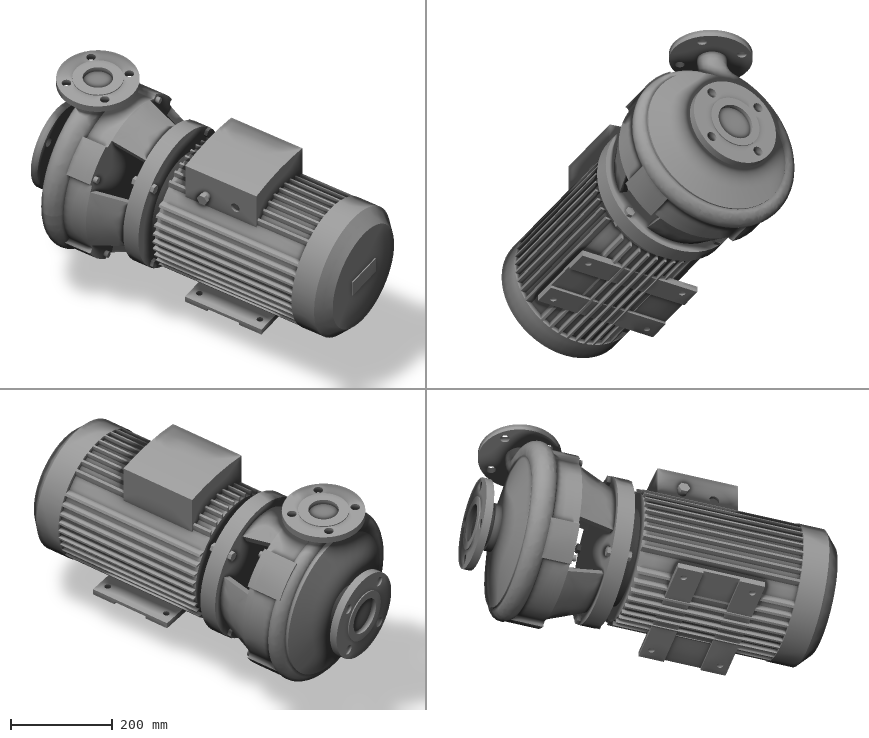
import cadquery as cq
import math


suction_flange_end = 18.0
suction_pipe_end = 35.0
suction_boss_end = 48.5
cone_end = 75.0
volute_x = 100.0
casing_end = 162.0
cover_end = 177.0
lantern_flange_start = 255.5
lantern_flange_end = 291.0
collar_end = 317.0
fins_end = 642.5
cowl_bevel_start = 695.0
cowl_end = 721.0
motor_end = 723.5

suction_flange_diameter = 185.0
suction_face_diameter = 108.5
suction_bore_diameter = 76.0
suction_pipe_diameter = 80.0
suction_boss_diameter = 96.0
suction_hole_diameter = 20.0
suction_hole_offset = 52.0
raised_face = 2.0
port_depth = 11.0

cone_radius = 155.0
ring_radius = 160.0
ring_end_radius = 154.0
tube_radius = 25.0
tube_end_radius = 15.0
outlet_tube_radius = 30.0
outlet_bend_radius = 45.0
outlet_tube_y = -3.0
outlet_flange_diameter = 165.0
outlet_face_diameter = 101.0
outlet_bore_diameter = 60.0
outlet_hole_diameter = 19.0
outlet_hole_offset = 45.0
outlet_top = 225.0
outlet_flange_thickness = 17.0

rim_radius = 164.0
pad_radius = 175.0
pad_half_angle = 13.5
pad_fillet = 6.5
stud_diameter = 13.0
stud_length = 9.0
stud_circle_radius = 163.0
stud_offset_angle = 9.8
quarter_angles = (45, 135, 225, 315)
arm_start_radius = 164.0
arm_end_radius = 132.0
arm_thickness = 19.0
arm_half_angle = 25.4
lantern_flange_radius = 300.0 / 2

bolt_circle_radius = 139.5
bolt_diameter = 10.0
bolt_hex_diameter = 20.0
bolt_head_length = 7.0
bolt_nut_length = 8.0

motor_radius = 279.0 / 2
core_radius = 129.5
collar_radius = 199.0 / 2
cowl_end_radius = 112.0
fin_pitch = 19.5
fin_width = 4.0
fins_each_side = 4
badge_width = 84.0
badge_height = 35.0

foot_start = 386.0
foot_length = 179.5
foot_half_width = 129.5
foot_bottom = -132.0
foot_thickness = 13.0
foot_relief_length = 75.0
foot_relief_depth = 6.0
foot_hole_diameter = 13.0
foot_hole_end_margin = 19.0
foot_hole_y = 105.5

box_start = 358.0
box_length = 166.5
box_half_width = 84.0
box_joint_z = 142.5
lid_side_z = 181.0
lid_crown_z = 188.0
gland_x = 408.0
spare_entry_x = 475.0
entry_z = 126.5
entry_diameter = 20.0
entry_depth = 6.0
gland_neck_diameter = 19.0
gland_neck_length = 9.5
gland_hex_diameter = 24.0
gland_hex_length = 8.0


def disc(radius, start, end):
    """Cylinder on the X axis between two stations."""
    return cq.Workplane("YZ").workplane(offset=start).circle(radius).extrude(end - start)


def polar(radius, degrees):
    """(y, z) of a point on a circle around the X axis."""
    angle = math.radians(degrees)
    return radius * math.cos(angle), radius * math.sin(angle)


def revolved(profile):
    """Turn a closed list of (x, radius) points around the X axis."""
    return cq.Workplane("XY").polyline(profile).close().revolve(360, (0, 0, 0), (1, 0, 0))


def padded_rim(start, end):
    """Round rim with four screw pads, each blended into the rim."""
    rim = disc(rim_radius, start, end)
    for angle in quarter_angles:
        pad = (
            cq.Workplane("YZ")
            .workplane(offset=start)
            .lineTo(*polar(pad_radius, angle - pad_half_angle))
            .threePointArc(polar(pad_radius, angle), polar(pad_radius, angle + pad_half_angle))
            .close()
            .extrude(end - start)
        )
        rim = rim.union(pad)
    middle_radius = (rim_radius + pad_radius) / 2

    def is_pad_root(edge):
        centre = edge.Center()
        return math.hypot(centre.y, centre.z) < middle_radius

    return rim.edges("|X").filter(is_pad_root).fillet(pad_fillet)


def volute_spiral():
    """Tube that shrinks along three quarters of a turn, from -Y through -Z and +Y to +Z."""
    sections = 10
    sweep_angle = 270
    wires = []
    for i in range(sections):
        fraction = i / (sections - 1)
        centre_radius = ring_radius + fraction * (ring_end_radius - ring_radius)
        y, z = polar(centre_radius, 180 + sweep_angle * fraction)
        plane = cq.Plane(origin=(volute_x, y, z), xDir=(1, 0, 0), normal=(0, -z, y))
        radius = tube_radius + fraction * (tube_end_radius - tube_radius)
        wires.append(cq.Workplane(plane).circle(radius).wires().val())
    return cq.Workplane(obj=cq.Solid.makeLoft(wires))


def outlet_pipe():
    """Widening tube that follows the ring up from -Y, then bends back to the vertical outlet."""
    bend_y = outlet_tube_y - outlet_bend_radius
    bend_z = math.sqrt((ring_radius + outlet_bend_radius) ** 2 - bend_y**2)
    joint_angle = math.degrees(math.atan2(bend_z, bend_y))
    bend_middle_angle = math.radians((joint_angle - 180) / 2)
    bend_middle = (
        bend_y + outlet_bend_radius * math.cos(bend_middle_angle),
        bend_z + outlet_bend_radius * math.sin(bend_middle_angle),
    )
    flange_bottom = outlet_top - outlet_flange_thickness
    path = (
        cq.Workplane("YZ", origin=(volute_x, 0, 0))
        .moveTo(-ring_radius, 0)
        .threePointArc(polar(ring_radius, (180 + joint_angle) / 2), polar(ring_radius, joint_angle))
        .threePointArc(bend_middle, (outlet_tube_y, bend_z))
        .lineTo(outlet_tube_y, flange_bottom)
    )
    return (
        cq.Workplane("XY", origin=(volute_x, -ring_radius, 0))
        .circle(tube_radius)
        .workplane(offset=flange_bottom)
        .center(0, ring_radius + outlet_tube_y)
        .circle(outlet_tube_radius)
        .sweep(path, multisection=True)
    )


def outlet_flange():
    """Flange with a raised face; the bottom of the flange is the end of the outlet pipe."""
    rim_top = outlet_top - raised_face
    bottom = outlet_top - outlet_flange_thickness
    return (
        cq.Workplane("XY", origin=(volute_x, 0, bottom))
        .circle(outlet_flange_diameter / 2)
        .extrude(rim_top - bottom)
        .faces(">Z")
        .workplane()
        .circle(outlet_face_diameter / 2)
        .extrude(raised_face)
        .faces(">Z")
        .workplane()
        .rect(2 * outlet_hole_offset, 2 * outlet_hole_offset, forConstruction=True)
        .vertices()
        .hole(outlet_hole_diameter, outlet_flange_thickness)
    )


def suction_flange():
    """Flange with a raised face around the suction port."""
    flange = disc(suction_flange_diameter / 2, raised_face, suction_flange_end)
    flange = flange.union(disc(suction_face_diameter / 2, 0, suction_flange_end))
    holes = (
        cq.Workplane("YZ")
        .rect(2 * suction_hole_offset, 2 * suction_hole_offset, forConstruction=True)
        .vertices()
        .circle(suction_hole_diameter / 2)
        .extrude(suction_flange_end)
    )
    return flange.cut(holes)


def pump_casing():
    """Suction flange, conical front, volute with outlet flange, and padded rear rim."""
    front = revolved([
        (suction_flange_end, 0),
        (suction_flange_end, suction_pipe_diameter / 2),
        (suction_pipe_end, suction_pipe_diameter / 2),
        (suction_pipe_end, suction_boss_diameter / 2),
        (suction_boss_end, suction_boss_diameter / 2),
        (cone_end, cone_radius),
        (volute_x, cone_radius),
        (volute_x, 0),
    ])
    casing = padded_rim(volute_x, casing_end).union(front)
    casing = casing.union(volute_spiral()).union(outlet_pipe())
    casing = casing.union(suction_flange()).union(outlet_flange())
    outlet_port = (
        cq.Workplane("XY", origin=(volute_x, 0, outlet_top))
        .circle(outlet_bore_diameter / 2)
        .extrude(-port_depth)
    )
    return casing.cut(disc(suction_bore_diameter / 2, 0, port_depth)).cut(outlet_port)


def lantern_arms():
    """Four sectors of a tapering shell, centred on +Y, +Z, -Y and -Z."""
    shell = revolved([
        (cover_end, arm_start_radius),
        (lantern_flange_start, arm_end_radius),
        (lantern_flange_start, arm_end_radius - arm_thickness),
        (cover_end, arm_start_radius - arm_thickness),
    ])
    reach = 2 * arm_start_radius
    sectors = cq.Workplane("YZ").workplane(offset=cover_end)
    for angle in (0, 90, 180, 270):
        sectors = (
            sectors.moveTo(0, 0)
            .lineTo(*polar(reach, angle - arm_half_angle))
            .lineTo(*polar(reach, angle + arm_half_angle))
            .close()
        )
    return shell.intersect(sectors.extrude(lantern_flange_start - cover_end))


def bolt_centres():
    """(y, z) of the four flange bolts."""
    return [polar(bolt_circle_radius, angle) for angle in quarter_angles]


def lantern():
    """Casing cover with screw ends, four arms and the flange that carries the motor."""
    stud_centres = [
        polar(stud_circle_radius, angle + stud_offset_angle)
        for angle in quarter_angles
    ]
    studs = (
        cq.Workplane("YZ")
        .workplane(offset=cover_end)
        .pushPoints(stud_centres)
        .circle(stud_diameter / 2)
        .extrude(stud_length)
    )
    bolt_holes = (
        cq.Workplane("YZ")
        .workplane(offset=lantern_flange_start)
        .pushPoints(bolt_centres())
        .circle(bolt_diameter / 2)
        .extrude(lantern_flange_end - lantern_flange_start)
    )
    flange = disc(lantern_flange_radius, lantern_flange_start, lantern_flange_end).cut(bolt_holes)
    return padded_rim(casing_end, cover_end).union(studs).union(lantern_arms()).union(flange)


def flange_bolt(y, z):
    """Bolt through the lantern flange: hex head on the motor side, hex nut on the pump side."""
    nut_start = lantern_flange_start - bolt_nut_length
    head_end = lantern_flange_end + bolt_head_length

    def axis_at(x):
        return cq.Workplane("YZ", origin=(x, y, z))

    nut = axis_at(nut_start).polygon(6, bolt_hex_diameter).extrude(bolt_nut_length)
    shank = axis_at(nut_start).circle(bolt_diameter / 2).extrude(head_end - nut_start)
    head = axis_at(lantern_flange_end).polygon(6, bolt_hex_diameter).extrude(bolt_head_length)
    return nut.union(shank).union(head)


def cooling_fins():
    """Parallel fins above and below the core and on both sides of it, trimmed to the motor radius."""
    length = fins_end - collar_end
    fin_places = [i * fin_pitch for i in range(-fins_each_side, fins_each_side + 1)]

    def bars(centres, width, height):
        plane = cq.Workplane("YZ").workplane(offset=collar_end)
        return plane.pushPoints(centres).rect(width, height).extrude(length)

    upright = bars([(place, 0) for place in fin_places], fin_width, 2 * motor_radius)
    level = bars([(0, place) for place in fin_places], 2 * motor_radius, fin_width)
    fins = upright.union(level)
    return fins.intersect(disc(motor_radius, collar_end, fins_end))


def foot_plate():
    """Mounting plate under the motor, relieved underneath, with two holes on each side."""
    underside = cq.Workplane("XY", origin=(foot_start + foot_length / 2, 0, foot_bottom))
    width = 2 * foot_half_width
    plate = underside.box(foot_length, width, foot_thickness, centered=(True, True, False))
    relief = underside.box(foot_relief_length, width, foot_relief_depth, centered=(True, True, False))
    holes = (
        underside.rect(foot_length - 2 * foot_hole_end_margin, 2 * foot_hole_y, forConstruction=True)
        .vertices()
        .circle(foot_hole_diameter / 2)
        .extrude(foot_thickness)
    )
    return plate.cut(relief).cut(holes)


def box_block(bottom, top):
    """Straight-sided block with the plan of the terminal box."""
    base = cq.Workplane("XY", origin=(box_start, 0, bottom))
    return base.box(box_length, 2 * box_half_width, top - bottom, centered=(False, True, False))


def motor():
    """Collar, finned body, fan cowl with its end badge, and feet; fins stop at the terminal box."""
    core = revolved([
        (lantern_flange_end, 0),
        (lantern_flange_end, collar_radius),
        (collar_end, collar_radius),
        (collar_end, core_radius),
        (fins_end, core_radius),
        (fins_end, motor_radius),
        (cowl_bevel_start, motor_radius),
        (cowl_end, cowl_end_radius),
        (cowl_end, 0),
    ])
    badge = (
        cq.Workplane("YZ")
        .workplane(offset=cowl_end)
        .rect(badge_width, badge_height)
        .extrude(motor_end - cowl_end)
    )
    fins = cooling_fins().cut(box_block(0, box_joint_z))
    return core.union(fins).union(foot_plate()).union(badge)


def terminal_box():
    """Box saddled on the motor core, with a spare cable entry in its -Y wall."""
    box = box_block(0, box_joint_z).cut(disc(core_radius, collar_end, fins_end))
    entry = (
        cq.Workplane("XZ", origin=(spare_entry_x, -box_half_width, entry_z))
        .circle(entry_diameter / 2)
        .extrude(-entry_depth)
    )
    return box.cut(entry)


def terminal_lid():
    """Lid with a top that is arched across the motor."""
    return (
        cq.Workplane("YZ", origin=(box_start, 0, 0))
        .moveTo(-box_half_width, box_joint_z)
        .lineTo(-box_half_width, lid_side_z)
        .threePointArc((0, lid_crown_z), (box_half_width, lid_side_z))
        .lineTo(box_half_width, box_joint_z)
        .close()
        .extrude(box_length)
    )


def cable_gland():
    """Round neck on the box wall with a hex cap."""
    return (
        cq.Workplane("XZ", origin=(gland_x, -box_half_width, entry_z))
        .circle(gland_neck_diameter / 2)
        .extrude(gland_neck_length)
        .faces("<Y")
        .workplane()
        .polygon(6, gland_hex_diameter)
        .extrude(gland_hex_length)
    )


result = cq.Compound.makeCompound([
    pump_casing().val(),
    lantern().val(),
    *[flange_bolt(y, z).val() for y, z in bolt_centres()],
    motor().val(),
    terminal_box().val(),
    terminal_lid().val(),
    cable_gland().val(),
])